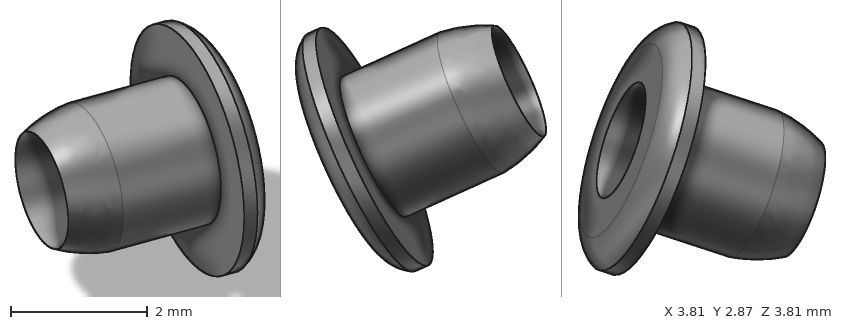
import cadquery as cq

flange_radius = 1.905
flange_thickness = 0.505
rim_height = 0.217
flange_face_radius = 1.485
flange_edge_bulge = 0.06
barrel_radius = 1.128
bore_radius = 0.888
total_length = 2.87
nose_length = 0.775
nose_bulge = 0.04

flange_top = flange_thickness
nose_tip = flange_thickness - total_length
nose_start = nose_tip + nose_length

half_section = (
    cq.Workplane("XY")
    .moveTo(bore_radius, nose_tip)
    .sagittaArc((barrel_radius, nose_start), -nose_bulge)
    .lineTo(barrel_radius, 0)
    .lineTo(flange_radius, 0)
    .lineTo(flange_radius, rim_height)
    .sagittaArc((flange_face_radius, flange_top), -flange_edge_bulge)
    .lineTo(bore_radius, flange_top)
    .close()
)

result = half_section.revolve(360, (0, 0, 0), (0, 1, 0))